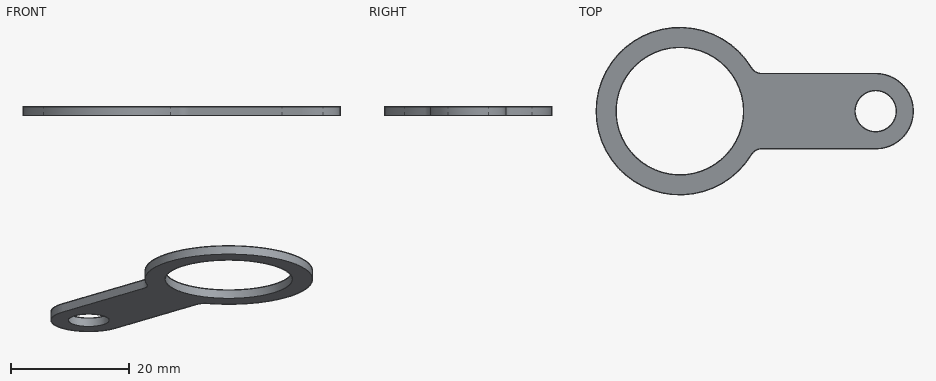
import cadquery as cq

overall_length = 53.5
thickness = 1.5
ring_outer_diameter = 28.25
ring_hole_diameter = 21.45
tab_width = 12.75
tab_hole_diameter = 6.9
neck_fillet_radius = 2.0

tab_end_radius = tab_width / 2
tab_hole_x = overall_length - ring_outer_diameter / 2 - tab_end_radius


def disc(diameter, center_x):
    """Full-thickness disc standing on the XY plane."""
    return cq.Workplane("XY").center(center_x, 0).circle(diameter / 2).extrude(thickness)


tab = cq.Workplane("XY").center(tab_hole_x / 2, 0).rect(tab_hole_x, tab_width).extrude(thickness)
blank = disc(ring_outer_diameter, 0).union(tab)

neck_corners = cq.selectors.BoxSelector(
    (0, -tab_width, 0),
    (ring_outer_diameter / 2, tab_width, thickness),
)
blank = blank.edges("|Z").edges(neck_corners).fillet(neck_fillet_radius)
blank = blank.union(disc(tab_width, tab_hole_x))

result = blank.cut(disc(ring_hole_diameter, 0)).cut(disc(tab_hole_diameter, tab_hole_x))